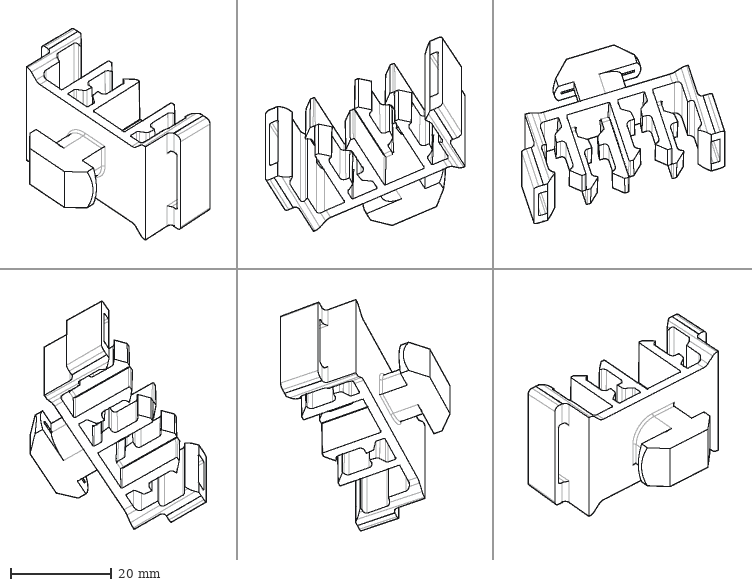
import cadquery as cq
import math

half_length = 20.0
back = 15.2
base_thickness = 2.0
base_half_height = 10.0
arm_half_height = 12.25
rear_half_height = 12.0
pitch = 9.0

ledge = 7.0
stem = 2.0
ledge_round = 0.8
throat = 12.2
barb = 3.0
barb_low = 13.1
barb_high = 13.3
bend_middle = (0.2, 0.4)
bend_end = (0.6, 0.7)
crest = 0.95
post_back = 15.1

shelf = 3.75
neck = 1.75
neck_top = 3.75
neck_bend_middle = (1.85, 3.95)
neck_bend_end = (2.05, 4.1)
shoulder_start = (3.15, 4.9)
shoulder_middle = (3.5, 5.15)
shoulder_end = (3.6, 5.55)
root_round = 0.3
post_overlap = 0.1
post_draft = 0.6
step_round = 0.55

wall_outer = 17.1
wall_inner = 14.8
arm_crest = 0.8
corner_round = 1.2
shoulder_round = 0.95
flange_thickness = 2.0
flange_round = 1.0
flare_foot_x = 13.9
flare_round = 1.6
slot_outer = 19.0
slot_half_height = 7.3
slot_round = 0.45

neck_half_width = 5.0
foot_half_height = 4.7
neck_fillet = 0.5
head_back = -5.85
head_front = -10.8
head_chamfer_start = -6.8
head_half_length = 9.1
head_corner_x = 8.25
ridge_half_length = 7.7
ridge_height = 0.25
ridge_half_width = 0.35

DIAGONAL = math.sqrt(0.5)
ARC_INSET = 1 - DIAGONAL


def hook_edge(path, centre):
    """Continue an outline from the ledge, up the stem and round the hook to its crest."""
    return (
        path.lineTo(centre + stem + ledge_round, ledge)
        .threePointArc(
            (centre + stem + ledge_round * ARC_INSET, ledge + ledge_round * ARC_INSET),
            (centre + stem, ledge + ledge_round),
        )
        .lineTo(centre + stem, throat)
        .threePointArc(
            (centre + stem + bend_middle[0], throat + bend_middle[1]),
            (centre + stem + bend_end[0], throat + bend_end[1]),
        )
        .lineTo(centre + barb, barb_low)
        .lineTo(centre + barb, barb_high)
        .lineTo(centre + crest, post_back)
    )


def post_step():
    """Fillet below Z = 0, rounding the base into the end of the opposite half post."""
    bend = step_round * ARC_INSET
    return (
        cq.Workplane("YZ", origin=(-post_overlap, 0, 0))
        .moveTo(base_thickness, 0)
        .lineTo(base_thickness + step_round, 0)
        .threePointArc((base_thickness + bend, -bend), (base_thickness, -step_round))
        .lineTo(base_thickness / 2, -step_round)
        .lineTo(base_thickness / 2, 0)
        .close()
        .extrude(neck + post_overlap)
    )


def half_post():
    """Post filling the upper half of the height, with its hook toward +X."""
    flat = -post_overlap
    inside = base_thickness / 2
    bend = root_round * ARC_INSET
    path = (
        cq.Workplane("XY")
        .moveTo(flat - root_round, inside)
        .lineTo(neck + root_round, inside)
        .lineTo(neck + root_round, base_thickness)
        .threePointArc((neck + bend, base_thickness + bend), (neck, base_thickness + root_round))
        .lineTo(neck, neck_top)
        .threePointArc(neck_bend_middle, neck_bend_end)
        .lineTo(*shoulder_start)
        .threePointArc(shoulder_middle, shoulder_end)
        .lineTo(shelf, ledge)
    )
    outline = (
        hook_edge(path, 0)
        .lineTo(flat + root_round, post_back)
        .threePointArc((flat + bend, post_back - bend), (flat, post_back - root_round))
        .lineTo(flat, base_thickness + root_round)
        .threePointArc((flat - bend, base_thickness + bend), (flat - root_round, base_thickness))
        .close()
    )
    post = outline.extrude(base_half_height, taper=post_draft)
    return post.union(post_step())


def base_and_arms():
    """Base plate with the two hooked side arms, at full height."""
    arm_centre = -2 * pitch
    bend = corner_round * ARC_INSET
    path = (
        cq.Workplane("XY")
        .moveTo(0, 0)
        .lineTo(0, base_thickness)
        .lineTo(-wall_inner + corner_round, base_thickness)
        .threePointArc(
            (-wall_inner + bend, base_thickness + bend), (-wall_inner, base_thickness + corner_round)
        )
        .lineTo(-wall_inner, ledge)
    )
    bend = shoulder_round * ARC_INSET
    half = (
        hook_edge(path, arm_centre)
        .lineTo(arm_centre + arm_crest, back)
        .lineTo(arm_centre, back)
        .lineTo(arm_centre, ledge)
        .lineTo(-wall_outer - shoulder_round, ledge)
        .threePointArc((-wall_outer - bend, ledge - bend), (-wall_outer, ledge - shoulder_round))
        .lineTo(-wall_outer, 0)
        .close()
        .extrude(arm_half_height, both=True)
    )
    return half.union(half.mirror("YZ"))


def end_outline(height):
    """Waisted outline in Z and X, rising at 45 degrees to the given half height at both ends."""
    clear_x = half_length + 2 * flare_round
    right_top = [
        (base_half_height, flare_foot_x),
        (height, flare_foot_x + height - base_half_height),
        (height, clear_x),
    ]
    right_bottom = [(-z, x) for z, x in reversed(right_top)]
    left = [(-z, -x) for z, x in right_top + right_bottom]
    outline = cq.Sketch().polygon(right_top + right_bottom + left + right_top[:1])
    return outline.vertices().fillet(flare_round)


def waisted_block():
    """Block whose raised ends drop slightly to the rear; its X ends lie clear of the arms."""
    front = end_outline(arm_half_height)
    rear = end_outline(rear_half_height).moved(cq.Location(cq.Vector(0, 0, back)))
    return cq.Workplane("ZX").placeSketch(front, rear).loft(ruled=True)


def flange():
    """Outer rib of the left arm, with rounded long edges."""
    return (
        cq.Workplane("YZ", origin=(-half_length, 0, 0))
        .polyline([
            (ledge, -arm_half_height),
            (back, -rear_half_height),
            (back, rear_half_height),
            (ledge, arm_half_height),
        ])
        .close()
        .extrude(flange_thickness)
        .faces("<X")
        .edges("not |Z")
        .fillet(flange_round)
    )


def slot():
    """Opening through the left flange, running along Y beside the arm wall."""
    return (
        cq.Workplane("ZX", origin=(-(slot_outer + wall_outer) / 2, 0, 0))
        .rect(2 * slot_half_height, slot_outer - wall_outer)
        .extrude(back)
        .edges("|Y")
        .fillet(slot_round)
    )


def foot_neck():
    """Neck with two opposite rounded corners, so that the foot turns only one way."""
    r = foot_half_height
    arc_x = neck_half_width - r
    return (
        cq.Workplane("XZ")
        .moveTo(neck_half_width, 0)
        .lineTo(neck_half_width, r)
        .lineTo(-arc_x, r)
        .threePointArc((-arc_x - r * DIAGONAL, r * DIAGONAL), (-neck_half_width, 0))
        .lineTo(-neck_half_width, -r)
        .lineTo(arc_x, -r)
        .threePointArc((arc_x + r * DIAGONAL, -r * DIAGONAL), (neck_half_width, 0))
        .close()
        .extrude(-head_back)
    )


def foot_head():
    """Wedge-shaped head with bowed ends and a small ridge along its back."""
    r = foot_half_height
    head_plan = (
        cq.Workplane("XZ", origin=(0, head_back, 0))
        .moveTo(-head_corner_x, -r)
        .lineTo(head_corner_x, -r)
        .threePointArc((head_half_length, 0), (head_corner_x, r))
        .lineTo(-head_corner_x, r)
        .threePointArc((-head_half_length, 0), (-head_corner_x, -r))
        .close()
        .extrude(head_back - head_front)
    )
    wedge = (
        cq.Workplane("XY")
        .polyline([
            (-head_half_length, head_back),
            (head_half_length, head_back),
            (head_half_length, head_chamfer_start),
            (neck_half_width, head_front),
            (-neck_half_width, head_front),
            (-head_half_length, head_chamfer_start),
        ])
        .close()
        .extrude(r, both=True)
    )
    ridge = (
        cq.Workplane("YZ")
        .polyline([
            (head_back, -ridge_half_width),
            (head_back + ridge_height, 0),
            (head_back, ridge_half_width),
        ])
        .close()
        .extrude(ridge_half_length, both=True)
    )
    return head_plan.intersect(wedge).union(ridge)


body = base_and_arms()
right_hook = half_post()
left_hook = right_hook.mirror("YZ")
for x, post in [(-pitch, right_hook), (0, left_hook), (pitch, right_hook)]:
    upper = post.translate((x, 0, 0))
    lower = upper.rotate((0, 0, 0), (0, 1, 0), 180)
    body = body.union(upper).union(lower)
body = body.intersect(waisted_block())

left_flange = flange()
left_slot = slot()
body = body.union(left_flange).union(left_flange.mirror("YZ"))
body = body.cut(left_slot).cut(left_slot.mirror("YZ"))

body = body.union(foot_neck())
margin = neck_fillet / 2
neck_root = cq.selectors.BoxSelector(
    (-neck_half_width - margin, -margin, -foot_half_height - margin),
    (neck_half_width + margin, margin, foot_half_height + margin),
)
body = body.edges(neck_root).fillet(neck_fillet)
result = body.union(foot_head())